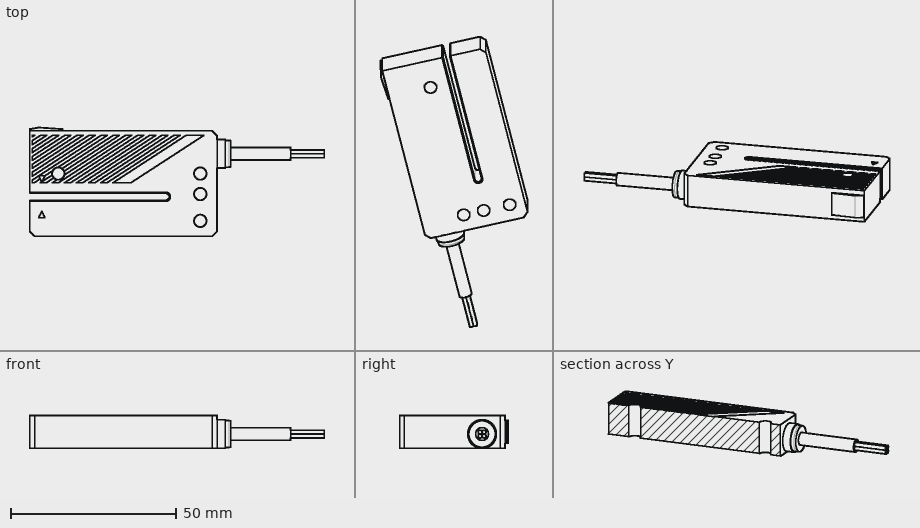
import cadquery as cq
import math


LENGTH = 56.8
WIDTH = 32.0
HEIGHT = 10.0
CORNER_CHAMFER = 1.5

SLOT_CENTER_Y = 12.0
SLOT_WIDTH = 2.0
SLOT_DEPTH = 42.3
SLOT_CHAMFER = 0.35

HOLE_DIAMETER = 3.7
BOLT_ROW_X = 51.7
FORK_HOLE_X = 8.7
UPPER_HOLE_Y = 19.0
HOLE_POINTS = [
    (BOLT_ROW_X, 4.7),
    (BOLT_ROW_X, 12.8),
    (BOLT_ROW_X, UPPER_HOLE_Y),
    (FORK_HOLE_X, UPPER_HOLE_Y),
]

HATCH_DEPTH = 0.1
HATCH_LEFT = 0.8
HATCH_BOTTOM = 16.2
HATCH_TOP = 30.6
HATCH_ANGLE = math.radians(33)
STRIP_WIDTH = 1.0
STRIP_PITCH = 2.0
STRIP_COUNT = 13
LAST_STRIP_WIDTH = 2.95
LAST_STRIP_TOP_X = 47.4

MARK_X = 3.7
MARK_WIDTH = 1.9
MARK_HEIGHT = 1.85
MARK_DEPTH = 0.2
LOWER_MARK_BASE_Y = 5.7
UPPER_MARK_BASE_Y = 18.3

CAP_LENGTH = 10.1
CAP_EDGE_RISE = 0.5
CAP_PEAK_X = 2.8
CAP_PEAK_RISE = 1.0
CAP_HEIGHT = 7.0

TOTAL_LENGTH = 89.3
CABLE_Y = 25.0
CABLE_Z = 4.35
GLAND_COLLAR_RADIUS = 4.35
GLAND_COLLAR_LENGTH = 2.5
GLAND_NOSE_RADIUS = 4.1
GLAND_NOSE_LENGTH = 1.65
GLAND_TAPER_LENGTH = 0.7
GLAND_TIP_RADIUS = 4.0
SHEATH_RADIUS = 1.95
SHEATH_END_X = 79.1
WIRE_RADIUS = 0.6
WIRE_SPACING = 1.22


def slot_cutter():
    """Slot open at the fork end, with a half-round inner end."""
    radius = SLOT_WIDTH / 2
    arc_start = SLOT_DEPTH - radius
    return (
        cq.Workplane("XY", origin=(0, SLOT_CENTER_Y, 0))
        .moveTo(0, -radius)
        .lineTo(arc_start, -radius)
        .threePointArc((SLOT_DEPTH, 0), (arc_start, radius))
        .lineTo(0, radius)
        .close()
        .extrude(HEIGHT)
    )


def hatch_cutter():
    """Slanted strips, all trimmed to one rectangular band of the upper face."""
    band_height = HATCH_TOP - HATCH_BOTTOM
    slant = band_height / math.tan(HATCH_ANGLE)
    floor = HEIGHT - HATCH_DEPTH

    def strip(top_left, width):
        span = width / math.sin(HATCH_ANGLE)
        corners = [
            (top_left, HATCH_TOP),
            (top_left + span, HATCH_TOP),
            (top_left + span - slant, HATCH_BOTTOM),
            (top_left - slant, HATCH_BOTTOM),
        ]
        return cq.Workplane("XY", origin=(0, 0, floor)).polyline(corners).close().extrude(HATCH_DEPTH)

    step = STRIP_PITCH / math.sin(HATCH_ANGLE)
    strips = strip(LAST_STRIP_TOP_X, LAST_STRIP_WIDTH)
    for index in range(1, STRIP_COUNT + 1):
        strips = strips.union(strip(LAST_STRIP_TOP_X - index * step, STRIP_WIDTH))

    band = cq.Workplane("XY", origin=(HATCH_LEFT, HATCH_BOTTOM, floor)).box(
        LENGTH, band_height, HATCH_DEPTH, centered=False
    )
    return strips.intersect(band)


def mark_cutter(base_y, direction):
    """Triangle whose tip points along +Y (direction 1) or -Y (direction -1)."""
    corners = [
        (MARK_X - MARK_WIDTH / 2, base_y),
        (MARK_X + MARK_WIDTH / 2, base_y),
        (MARK_X, base_y + direction * MARK_HEIGHT),
    ]
    return (
        cq.Workplane("XY", origin=(0, 0, HEIGHT - MARK_DEPTH))
        .polyline(corners)
        .close()
        .extrude(MARK_DEPTH)
    )


def make_housing():
    block = cq.Workplane("XY").box(LENGTH, WIDTH, HEIGHT, centered=False)
    block = block.edges("|Z and >X").chamfer(CORNER_CHAMFER)
    block = block.edges("|Z and <X and <Y").chamfer(CORNER_CHAMFER)

    block = block.cut(slot_cutter())
    reach = SLOT_WIDTH / 2 + SLOT_CHAMFER
    near_slot = cq.selectors.BoxSelector(
        (-SLOT_CHAMFER, SLOT_CENTER_Y - reach, -SLOT_CHAMFER),
        (SLOT_DEPTH + SLOT_CHAMFER, SLOT_CENTER_Y + reach, HEIGHT + SLOT_CHAMFER),
    )
    inside_slot = cq.selectors.BoxSelector(
        (SLOT_CHAMFER, SLOT_CENTER_Y - reach, SLOT_CHAMFER),
        (SLOT_DEPTH + SLOT_CHAMFER, SLOT_CENTER_Y + reach, HEIGHT - SLOT_CHAMFER),
    )
    block = block.edges(near_slot - inside_slot).chamfer(SLOT_CHAMFER)

    holes = cq.Workplane("XY").pushPoints(HOLE_POINTS).circle(HOLE_DIAMETER / 2).extrude(HEIGHT)
    block = block.cut(hatch_cutter())
    block = block.cut(mark_cutter(LOWER_MARK_BASE_Y, 1))
    block = block.cut(mark_cutter(UPPER_MARK_BASE_Y, -1))
    return block.cut(holes)


def make_indicator_cap():
    """Low ridge lying on the +Y side, centred on the housing height."""
    return (
        cq.Workplane("XY", origin=(0, WIDTH, (HEIGHT - CAP_HEIGHT) / 2))
        .polyline([
            (0, 0),
            (CAP_LENGTH, 0),
            (CAP_LENGTH, CAP_EDGE_RISE),
            (CAP_PEAK_X, CAP_PEAK_RISE),
            (0, CAP_EDGE_RISE),
        ])
        .close()
        .extrude(CAP_HEIGHT)
    )


def make_cable():
    """Gland, sheath and bare wires as one body along +X."""
    collar_end = LENGTH + GLAND_COLLAR_LENGTH
    nose_end = collar_end + GLAND_NOSE_LENGTH

    turned = (
        cq.Workplane("XY", origin=(0, CABLE_Y, CABLE_Z))
        .polyline([
            (LENGTH, 0),
            (LENGTH, GLAND_COLLAR_RADIUS),
            (collar_end, GLAND_COLLAR_RADIUS),
            (collar_end, GLAND_NOSE_RADIUS),
            (nose_end - GLAND_TAPER_LENGTH, GLAND_NOSE_RADIUS),
            (nose_end, GLAND_TIP_RADIUS),
            (nose_end, SHEATH_RADIUS),
            (SHEATH_END_X, SHEATH_RADIUS),
            (SHEATH_END_X, 0),
        ])
        .close()
        .revolve(360, (0, 0, 0), (1, 0, 0))
    )

    wires = (
        cq.Workplane("YZ", origin=(SHEATH_END_X, CABLE_Y, CABLE_Z))
        .rarray(WIRE_SPACING, WIRE_SPACING, 2, 2)
        .circle(WIRE_RADIUS)
        .extrude(TOTAL_LENGTH - SHEATH_END_X)
    )
    return turned.union(wires)


housing = make_housing()
indicator_cap = make_indicator_cap()
cable = make_cable()

result = cq.Compound.makeCompound([
    *housing.solids().vals(),
    indicator_cap.val(),
    *cable.solids().vals(),
])